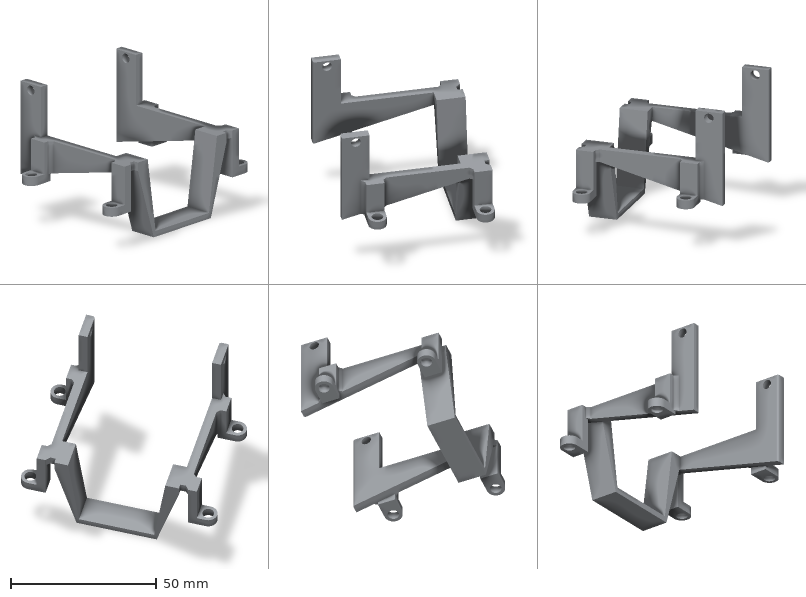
import cadquery as cq

total_length = 52.6
total_width = 69.85
total_height = 47.38

arm_thickness = 3.175
arm_outer_y = 25.4
arm_inner_y = arm_outer_y - arm_thickness
upright_width = 9.75
upright_height = 33.75
upright_rise = 18.35
arm_length = 50.75
arm_end_depth = 3.1
bar_top_z = total_height - upright_rise
arm_foot_z = total_height - upright_height
arm_end_z = bar_top_z - arm_end_depth
upright_edge_radius = 0.75

pivot_hole_diameter = 3.43
pivot_hole_x = 4.95
pivot_hole_drop = 2.35

foot_width = 6.4
post_thickness = 3.175
lug_thickness = 3.2
lug_radius = foot_width / 2
lug_hole_diameter = 4.0
lug_hole_y = total_width / 2 - lug_radius
rear_foot_x = 49.15
foot_spacing = 38.0
front_foot_x = rear_foot_x - foot_spacing
front_foot_bottom_z = total_height - 33.0
rear_foot_bottom_z = total_height - 35.4

gusset_size = 1.2
front_gusset_length = 1.45
end_gusset_length = 1.4

bracket_length = 10.2
bracket_floor = 2.1
bracket_inner_top_y = 17.35
bracket_inner_floor_y = 13.4
bracket_outer_floor_y = 14.3
bracket_side_depth = 3.1


def arm_profile():
    """Closed side outline of one arm in the XZ plane."""
    return (
        cq.Workplane("XZ")
        .moveTo(0, arm_foot_z)
        .lineTo(arm_length, arm_end_z)
        .lineTo(arm_length, bar_top_z)
        .lineTo(upright_width, bar_top_z)
        .lineTo(upright_width, total_height)
        .lineTo(0, total_height)
        .close()
    )


def vertical_prism(points):
    """Full-height prism over a plan outline."""
    return cq.Workplane("XY").polyline(points).close().extrude(total_height)


def arm():
    """Arm on the -Y side, with its inner upright edge rounded and its pivot hole."""
    body = arm_profile().extrude(arm_thickness).translate((0, -arm_inner_y, 0))
    body = body.edges("|Z and <X and >Y").fillet(upright_edge_radius)
    hole = (
        cq.Workplane("XZ")
        .center(pivot_hole_x, total_height - pivot_hole_drop)
        .circle(pivot_hole_diameter / 2)
        .extrude(total_width / 2)
    )
    return body.cut(hole)


def foot(center_x, bottom_z):
    """Post and drilled lug on the outer face of the -Y arm."""
    half_width = foot_width / 2
    lug = (
        cq.Workplane("XY", origin=(center_x, 0, bottom_z))
        .moveTo(-half_width, -arm_outer_y)
        .lineTo(-half_width, -lug_hole_y)
        .threePointArc((0, -total_width / 2), (half_width, -lug_hole_y))
        .lineTo(half_width, -arm_outer_y)
        .close()
        .extrude(lug_thickness)
    )
    post = cq.Workplane("XY").box(
        foot_width, post_thickness, bar_top_z - bottom_z, centered=(True, False, False)
    ).translate((center_x, -arm_outer_y - post_thickness, bottom_z))
    hole = (
        cq.Workplane("XY", origin=(center_x, -lug_hole_y, bottom_z))
        .circle(lug_hole_diameter / 2)
        .extrude(lug_thickness)
    )
    return lug.union(post).cut(hole)


def gussets():
    """Corner fillers that end on the sloping underside of the arm."""
    slope = (arm_end_z - arm_foot_z) / arm_length
    envelope = (
        cq.Workplane("XZ")
        .moveTo(0, arm_foot_z)
        .lineTo(total_length, arm_foot_z + slope * total_length)
        .lineTo(total_length, bar_top_z)
        .lineTo(0, bar_top_z)
        .close()
        .extrude(total_width / 2)
    )
    half_width = foot_width / 2
    corners = [
        (front_foot_x - half_width, -arm_outer_y, -front_gusset_length, -gusset_size),
        (front_foot_x + half_width, -arm_outer_y, gusset_size, -gusset_size),
        (rear_foot_x - half_width, -arm_outer_y, -gusset_size, -gusset_size),
        (arm_length, -arm_outer_y, end_gusset_length, gusset_size),
    ]
    fillers = cq.Workplane("XY")
    for x, y, run_x, run_y in corners:
        fillers = fillers.union(vertical_prism([(x, y), (x + run_x, y), (x, y + run_y)]))
    return fillers.intersect(envelope)


def cross_bracket():
    """U profile with flared sides whose tops are flush with the bars."""
    return (
        cq.Workplane("YZ", origin=(total_length - bracket_length, 0, 0))
        .polyline([
            (-arm_inner_y, bar_top_z),
            (-arm_inner_y, bar_top_z - bracket_side_depth),
            (-bracket_outer_floor_y, 0),
            (bracket_outer_floor_y, 0),
            (arm_inner_y, bar_top_z - bracket_side_depth),
            (arm_inner_y, bar_top_z),
            (bracket_inner_top_y, bar_top_z),
            (bracket_inner_floor_y, bracket_floor),
            (-bracket_inner_floor_y, bracket_floor),
            (-bracket_inner_top_y, bar_top_z),
        ])
        .close()
        .extrude(bracket_length)
    )


side = (
    arm()
    .union(foot(front_foot_x, front_foot_bottom_z))
    .union(foot(rear_foot_x, rear_foot_bottom_z))
    .union(gussets())
)
result = cross_bracket().union(side).union(side.mirror("XZ"))